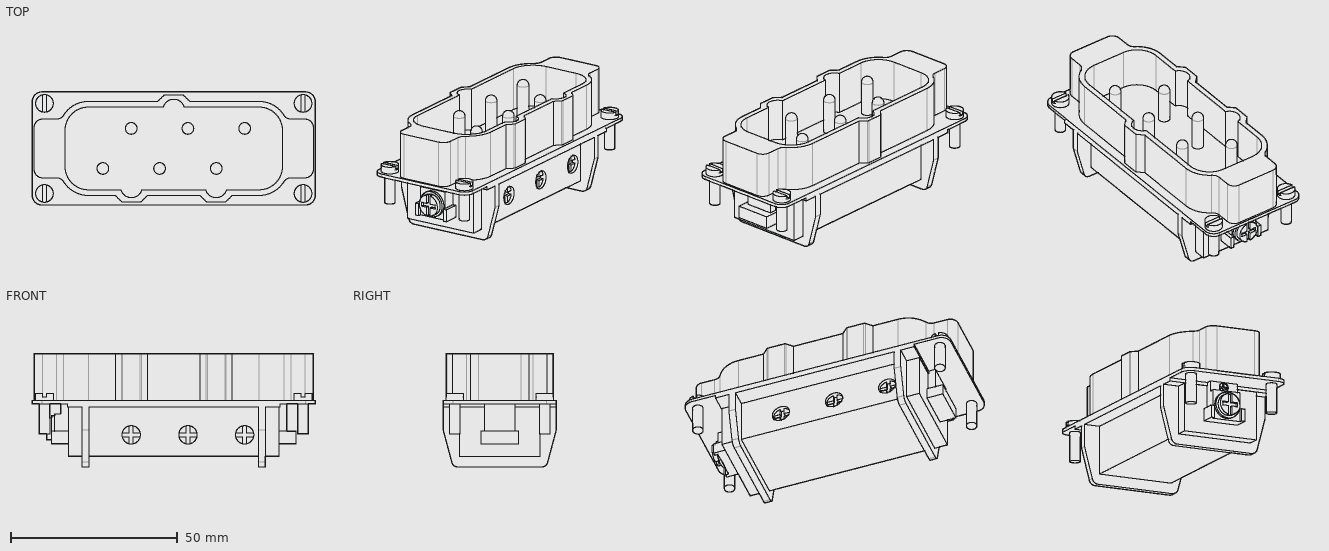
import cadquery as cq
import math

PLATE_LENGTH = 84.91
PLATE_WIDTH = 34.0
PLATE_THICKNESS = 1.0
PLATE_CORNER_RADIUS = 3.0

SHROUD_TOP = 15.0
CAVITY_FLOOR = 2.0
CAVITY_HALF_LENGTH = 32.6
CAVITY_HALF_WIDTH = 12.4
CAVITY_CORNER_RADIUS = 7.0
WALL = 1.7
END_BLOCK_HALF_LENGTH = 41.85
END_BLOCK_HALF_WIDTH = 8.8
END_BLOCK_RADIUS = 2.5

BUMP_CREST_HALF = 2.85
BUMP_HEIGHT = 1.95
BUMP_EDGE_RADIUS = 0.6
GROOVE_RADIUS = 3.25
GROOVE_DEPTH = 2.35
KEY_OFFSET = 12.7
KEYS = [(0.0, 1), (-KEY_OFFSET, -1), (KEY_OFFSET, -1)]

CONTACT_PITCH = 17.0
CONTACT_STAGGER = CONTACT_PITCH / 4
CONTACT_ROW_Y = 6.0
CONTACT_DIAMETER = 3.5
CONTACT_LENGTH = 12.0

FLANGE_LENGTH = 63.6
FLANGE_THICKNESS = 1.0
BODY_LENGTH = 63.2
BODY_WIDTH = 24.0
BODY_BOTTOM = -15.8

RIB_BOTTOM = -19.0
RIB_TAPER_START = -7.8
RIB_TAPER_ANGLE = 15.0
RIB_CORNER_RADIUS = 2.0
RIB_THICKNESS = 2.1
RIB_CENTER_X = 26.45

WIRE_SCREW_Z = -9.3
WIRE_SCREW_DIAMETER = 5.5
WIRE_SCREW_RECESS = 1.0
CROSS_SLOT_WIDTH = 1.2
CROSS_SLOT_DEPTH = 1.0

MOUNT_X = 38.75
MOUNT_Y = 13.5
MOUNT_HEAD_DIAMETER = 5.3
MOUNT_HEAD_HEIGHT = 2.1
MOUNT_SLOT_WIDTH = 1.1
MOUNT_SLOT_DEPTH = 1.1
MOUNT_SHANK_DIAMETER = 3.2
MOUNT_SHANK_LENGTH = 9.0

TERMINAL_WIDTH = 9.0
TERMINAL_BOTTOM = -12.0
NECK_END_X = 33.9
CLAMP_TOP = -3.05
CLAMP_END_X = 35.7
LUG_TOP = -8.2
TERMINAL_EMBED = 1.0
LUG_WIDTH = 11.15
LUG_END_X = 36.7
EARTH_SCREW_Z = -7.55
WASHER_DIAMETER = 8.0
WASHER_END_X = 36.6
EARTH_HEAD_DIAMETER = 6.6
EARTH_HEAD_END_X = 38.1
EARTH_SLOT_HEIGHT = 6.6
EARTH_SLOT_LENGTH = 5.0
EARTH_SLOT_WIDTH = 1.2
SMALL_SCREW_Z = -1.5
SMALL_SCREW_DIAMETER = 2.9
SMALL_SCREW_RECESS = 0.5
SMALL_SLOT_WIDTH = 0.5
SMALL_SLOT_DEPTH = 0.5


def box(x_range, y_range, z_range):
    """Axis-aligned block from its limits along X, Y and Z."""
    size = [high - low for low, high in (x_range, y_range, z_range)]
    corner = (x_range[0], y_range[0], z_range[0])
    return cq.Workplane("XY").box(*size, centered=False).translate(corner)


def centered_block(length, width, bottom, top):
    return box((-length / 2, length / 2), (-width / 2, width / 2), (bottom, top))


def cylinder(start, direction, diameter, length):
    solid = cq.Solid.makeCylinder(diameter / 2, length, cq.Vector(*start), cq.Vector(*direction))
    return cq.Workplane(obj=solid)


def make_plate():
    plate = centered_block(PLATE_LENGTH, PLATE_WIDTH, 0, PLATE_THICKNESS)
    return plate.edges("|Z").fillet(PLATE_CORNER_RADIUS)


def rounded_prism(half_length, half_width, radius, bottom, top):
    block = centered_block(2 * half_length, 2 * half_width, bottom, top)
    return block.edges("|Z").fillet(radius)


def make_shroud():
    """Round-cornered tub crossed by a longer, narrower block that makes the solid ends."""
    tub = rounded_prism(
        CAVITY_HALF_LENGTH + WALL,
        CAVITY_HALF_WIDTH + WALL,
        CAVITY_CORNER_RADIUS + WALL,
        PLATE_THICKNESS,
        SHROUD_TOP,
    )
    blocks = rounded_prism(
        END_BLOCK_HALF_LENGTH, END_BLOCK_HALF_WIDTH, END_BLOCK_RADIUS, PLATE_THICKNESS, SHROUD_TOP
    )
    return fillet_junctions(tub.union(blocks))


def fillet_junctions(shroud):
    """Round the inner corners where the end blocks leave the curved corners of the tub."""
    radius = CAVITY_CORNER_RADIUS + WALL
    center_x = CAVITY_HALF_LENGTH - CAVITY_CORNER_RADIUS
    center_y = CAVITY_HALF_WIDTH - CAVITY_CORNER_RADIUS
    junction_x = center_x + math.sqrt(radius**2 - (END_BLOCK_HALF_WIDTH - center_y) ** 2)
    reach = 0.1
    for end in (-1, 1):
        for side in (-1, 1):
            x = end * junction_x
            y = side * END_BLOCK_HALF_WIDTH
            near_junction = cq.selectors.BoxSelector(
                (x - reach, y - reach, PLATE_THICKNESS),
                (x + reach, y + reach, SHROUD_TOP),
            )
            shroud = shroud.edges("|Z").edges(near_junction).fillet(END_BLOCK_RADIUS)
    return shroud


def make_key_bump(x, side):
    """Bump with 45 degree flanks on the outer wall, its two crest edges rounded."""
    base_y = CAVITY_HALF_WIDTH + WALL
    crest_y = base_y + BUMP_HEIGHT
    base_half = BUMP_CREST_HALF + BUMP_HEIGHT
    outline = [
        (x - base_half, side * base_y),
        (x - BUMP_CREST_HALF, side * crest_y),
        (x + BUMP_CREST_HALF, side * crest_y),
        (x + base_half, side * base_y),
        (x, side * CAVITY_HALF_WIDTH),
    ]
    workplane = cq.Workplane("XY").workplane(offset=PLATE_THICKNESS)
    bump = workplane.polyline(outline).close().extrude(SHROUD_TOP - PLATE_THICKNESS)
    crest = ">Y" if side > 0 else "<Y"
    return bump.faces(crest).edges("|Z").fillet(BUMP_EDGE_RADIUS)


def make_cavity():
    cavity = rounded_prism(
        CAVITY_HALF_LENGTH, CAVITY_HALF_WIDTH, CAVITY_CORNER_RADIUS, CAVITY_FLOOR, SHROUD_TOP
    )
    groove_y = CAVITY_HALF_WIDTH + GROOVE_DEPTH - GROOVE_RADIUS
    for x, side in KEYS:
        start = (x, side * groove_y, CAVITY_FLOOR)
        groove = cylinder(start, (0, 0, 1), 2 * GROOVE_RADIUS, SHROUD_TOP - CAVITY_FLOOR)
        cavity = cavity.union(groove)
    return cavity


def make_contact_pin(x, y):
    """Pin standing on the cavity floor, with a hemispherical tip."""
    radius = CONTACT_DIAMETER / 2
    tip_z = CAVITY_FLOOR + CONTACT_LENGTH - radius
    pin = cylinder((x, y, 0), (0, 0, 1), CONTACT_DIAMETER, tip_z)
    return pin.union(cq.Workplane("XY").sphere(radius).translate((x, y, tip_z)))


def make_mounting_screw(x, y):
    head_top = PLATE_THICKNESS + MOUNT_HEAD_HEIGHT
    shank = cylinder(
        (x, y, -MOUNT_SHANK_LENGTH), (0, 0, 1), MOUNT_SHANK_DIAMETER, MOUNT_SHANK_LENGTH + head_top
    )
    head = cylinder((x, y, 0), (0, 0, 1), MOUNT_HEAD_DIAMETER, head_top)
    slot = centered_block(
        MOUNT_SLOT_WIDTH, MOUNT_HEAD_DIAMETER, head_top - MOUNT_SLOT_DEPTH, head_top
    ).translate((x, y, 0))
    return shank.union(head).cut(slot)


def make_body():
    flange = centered_block(FLANGE_LENGTH, PLATE_WIDTH, -FLANGE_THICKNESS, 0)
    return flange.union(centered_block(BODY_LENGTH, BODY_WIDTH, BODY_BOTTOM, 0))


def make_rib(center_x):
    half_width = PLATE_WIDTH / 2
    taper = math.tan(math.radians(RIB_TAPER_ANGLE)) * (RIB_TAPER_START - RIB_BOTTOM)
    bottom_half_width = half_width - taper
    rib = (
        cq.Workplane("YZ")
        .polyline([
            (-half_width, 0),
            (half_width, 0),
            (half_width, RIB_TAPER_START),
            (bottom_half_width, RIB_BOTTOM),
            (-bottom_half_width, RIB_BOTTOM),
            (-half_width, RIB_TAPER_START),
        ])
        .close()
        .extrude(RIB_THICKNESS / 2, both=True)
    )
    bottom_edges = rib.faces("<Z").edges("|X")
    return bottom_edges.fillet(RIB_CORNER_RADIUS).translate((center_x, 0, 0))


def cut_wire_screw(part, x):
    """Sunken screw head with a cross slot in the -Y face of the body."""
    face_y = -BODY_WIDTH / 2
    head_y = face_y + WIRE_SCREW_RECESS
    recess = cylinder((x, face_y, WIRE_SCREW_Z), (0, 1, 0), WIRE_SCREW_DIAMETER, WIRE_SCREW_RECESS)
    slot_bottom = cylinder((x, head_y, WIRE_SCREW_Z), (0, 1, 0), WIRE_SCREW_DIAMETER, CROSS_SLOT_DEPTH)
    cross = cq.Workplane("XY").box(WIRE_SCREW_DIAMETER, BODY_WIDTH, CROSS_SLOT_WIDTH)
    cross = cross.union(cq.Workplane("XY").box(CROSS_SLOT_WIDTH, BODY_WIDTH, WIRE_SCREW_DIAMETER))
    cross = cross.translate((x, face_y, WIRE_SCREW_Z)).intersect(slot_bottom)
    return part.cut(recess).cut(cross)


def end_block(end, reach, width, bottom, top):
    """Block from inside the body out to |X| = reach on the given end (-1 or 1)."""
    x_range = sorted((end * (BODY_LENGTH / 2 - TERMINAL_EMBED), end * reach))
    return box(x_range, (-width / 2, width / 2), (bottom, top))


def make_terminal(end):
    neck = end_block(end, NECK_END_X, TERMINAL_WIDTH, TERMINAL_BOTTOM, 0)
    lug = end_block(end, LUG_END_X, LUG_WIDTH, TERMINAL_BOTTOM, LUG_TOP)
    return neck.union(lug)


def cross_slot(end_x, z, length, height, width, depth):
    """Cross-shaped cutter reaching depth inwards (+X) from the plane X = end_x."""
    x_range = (end_x, end_x + depth)
    across = box(x_range, (-length / 2, length / 2), (z - width / 2, z + width / 2))
    upright = box(x_range, (-width / 2, width / 2), (z - height / 2, z + height / 2))
    return across.union(upright)


def make_earth_terminal():
    """Terminal on the -X end: clamp between two lugs, held by a large cross-slotted screw."""
    terminal = make_terminal(-1)
    terminal = terminal.cut(
        box((-LUG_END_X, -NECK_END_X), (-TERMINAL_WIDTH / 2, TERMINAL_WIDTH / 2), (TERMINAL_BOTTOM, 0))
    )
    terminal = terminal.union(end_block(-1, CLAMP_END_X, TERMINAL_WIDTH, TERMINAL_BOTTOM, CLAMP_TOP))

    washer_start = (-CLAMP_END_X, 0, EARTH_SCREW_Z)
    washer = cylinder(washer_start, (-1, 0, 0), WASHER_DIAMETER, WASHER_END_X - CLAMP_END_X)
    head = cylinder(washer_start, (-1, 0, 0), EARTH_HEAD_DIAMETER, EARTH_HEAD_END_X - CLAMP_END_X)
    terminal = terminal.union(washer).union(head).cut(
        cross_slot(
            -EARTH_HEAD_END_X, EARTH_SCREW_Z, EARTH_SLOT_LENGTH, EARTH_SLOT_HEIGHT,
            EARTH_SLOT_WIDTH, CROSS_SLOT_DEPTH,
        )
    )

    recess = cylinder((-NECK_END_X, 0, SMALL_SCREW_Z), (1, 0, 0), SMALL_SCREW_DIAMETER, SMALL_SCREW_RECESS)
    small_slot = cross_slot(
        SMALL_SCREW_RECESS - NECK_END_X, SMALL_SCREW_Z, SMALL_SCREW_DIAMETER, SMALL_SCREW_DIAMETER,
        SMALL_SLOT_WIDTH, SMALL_SLOT_DEPTH,
    )
    return terminal.cut(recess).cut(small_slot)


def contact_positions(shift):
    return [column * CONTACT_PITCH + shift for column in (-1, 0, 1)]


result = make_plate().union(make_shroud())
for key_x, key_side in KEYS:
    result = result.union(make_key_bump(key_x, key_side))
result = result.union(make_body()).cut(make_cavity())

for row in (-1, 1):
    for contact_x in contact_positions(row * CONTACT_STAGGER):
        result = result.union(make_contact_pin(contact_x, row * CONTACT_ROW_Y))

for rib_x in (-RIB_CENTER_X, RIB_CENTER_X):
    result = result.union(make_rib(rib_x))

for screw_x in contact_positions(CONTACT_STAGGER):
    result = cut_wire_screw(result, screw_x)

result = result.union(make_earth_terminal()).union(make_terminal(1))

for mount_x in (-MOUNT_X, MOUNT_X):
    for mount_y in (-MOUNT_Y, MOUNT_Y):
        result = result.union(make_mounting_screw(mount_x, mount_y))